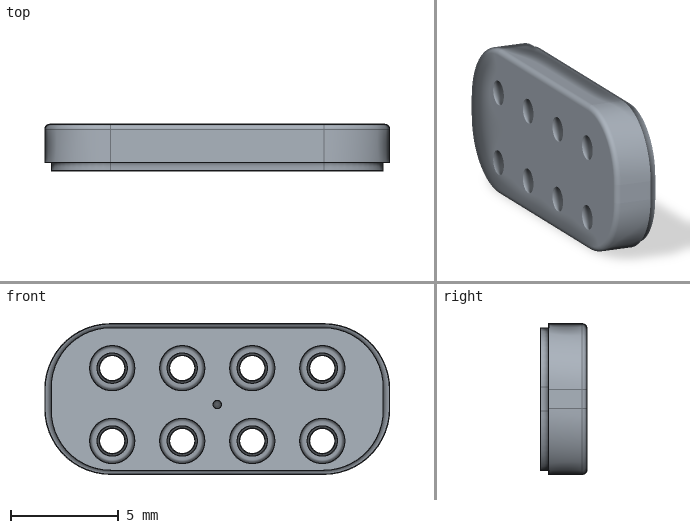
import cadquery as cq

length = 16.03
height = 7.0
thickness = 2.16
corner_radius = 3.06
back_fillet = 0.24

lip_thickness = 0.38
lip_end_inset = 0.3
lip_side_inset = 0.2
lip_corner_radius = corner_radius - lip_end_inset

columns = 4
rows = 2
column_pitch = 3.25
row_pitch = 3.38
pattern_z = -0.25
counterbore_diameter = 2.1
counterbore_depth = 0.5
bore_diameter = 1.41
bore_depth = 1.76
through_diameter = 1.17

pin_diameter = 0.38
pin_depth = 0.38

front_y = -thickness / 2
shoulder_y = front_y + lip_thickness


def rounded_block(block_length, block_height, radius, start_y, depth):
    """Block with rounded corners, reaching from start_y towards +Y."""
    return (
        cq.Workplane("XZ", origin=(0, start_y, 0))
        .rect(block_length, block_height)
        .extrude(-depth)
        .edges("|Y")
        .fillet(radius)
    )


def front_hole_pattern(diameter, depth):
    """Cylinders sunk from the front face at every hole position."""
    return (
        cq.Workplane("XZ", origin=(0, front_y, pattern_z))
        .rarray(column_pitch, row_pitch, columns, rows)
        .circle(diameter / 2)
        .extrude(-depth)
    )


body = rounded_block(length, height, corner_radius, shoulder_y, thickness - lip_thickness)
body = body.faces(">Y").edges().fillet(back_fillet)

lip = rounded_block(
    length - 2 * lip_end_inset,
    height - 2 * lip_side_inset,
    lip_corner_radius,
    front_y,
    lip_thickness,
)
plate = body.union(lip)

hole_steps = [
    (counterbore_diameter, counterbore_depth),
    (bore_diameter, bore_depth),
    (through_diameter, thickness),
]
for step_diameter, step_depth in hole_steps:
    plate = plate.cut(front_hole_pattern(step_diameter, step_depth))

pin_hole = (
    cq.Workplane("XZ", origin=(0, front_y, pattern_z))
    .circle(pin_diameter / 2)
    .extrude(-pin_depth)
)
result = plate.cut(pin_hole)